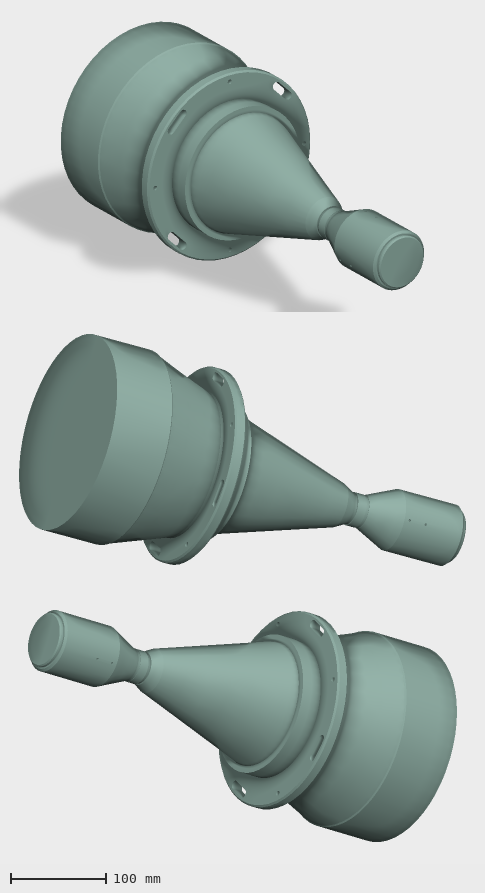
import cadquery as cq

length = 461.5
drum_diameter = 212.0
drum_radius = drum_diameter / 2

drum_end = 67.5
collar_start = 139.0
flange_start = 142.0
flange_end = 155.0
hub_end = 178.0
long_cone_end = 322.5
groove_start = 334.5
groove_end = 338.0
neck_ring_start = 348.0
neck_ring_end = 351.5
barrel_start = 387.0
spigot_start = 457.5

drum_chamfer = 1.5
collar_radius = 80.0
flange_chamfer = 2.0
hub_radius = 75.0
long_cone_radius = 67.5
cone_tip_radius = 24.0
neck_radius = 18.0
groove_depth = 1.5
neck_ring_depth = 0.5
barrel_radius = 33.2
barrel_chamfer = 2.5
spigot_radius = 29.0
spigot_chamfer = 1.5

opening_circle = 96.5
opening_count = 4
slot_length = 30.5
slot_width = 9.2
pin_hole_diameter = 5.0

screw_stations = (393.0, 412.0)
screw_count = 3
screw_start_angle = -5
screw_hole_diameter = 3.0
screw_hole_depth = 2.5


def revolve_profile(points):
    """Revolve (station, radius) points, closed along the X axis."""
    outline = [(0, 0)] + points + [(length, 0)]
    return (
        cq.Workplane("XY")
        .polyline(outline)
        .close()
        .revolve(360, (0, 0, 0), (1, 0, 0))
    )


def body():
    return revolve_profile([
        (0, drum_radius),
        (drum_end - drum_chamfer, drum_radius),
        (drum_end, drum_radius - drum_chamfer),
        (collar_start, collar_radius),
        (flange_start, collar_radius),
        (flange_start, drum_radius - flange_chamfer),
        (flange_start + flange_chamfer, drum_radius),
        (flange_end - flange_chamfer, drum_radius),
        (flange_end, drum_radius - flange_chamfer),
        (flange_end, hub_radius),
        (hub_end, hub_radius),
        (hub_end, long_cone_radius),
        (long_cone_end, cone_tip_radius),
        (groove_start, neck_radius),
        (groove_start, neck_radius - groove_depth),
        (groove_end, neck_radius - groove_depth),
        (groove_end, neck_radius),
        (neck_ring_start, neck_radius),
        (neck_ring_start, neck_radius - neck_ring_depth),
        (neck_ring_end, neck_radius - neck_ring_depth),
        (neck_ring_end, neck_radius),
        (barrel_start, barrel_radius),
        (spigot_start - barrel_chamfer, barrel_radius),
        (spigot_start, barrel_radius - barrel_chamfer),
        (spigot_start, spigot_radius),
        (length - spigot_chamfer, spigot_radius),
        (length, spigot_radius - spigot_chamfer),
    ])


def flange_openings():
    """Four straight slots on the diagonals and four pin holes on the main axes."""
    depth = flange_end - flange_start
    plane = cq.Workplane("YZ", origin=(flange_start, 0, 0))
    slot_spacing = 360 / opening_count
    holes = (
        plane.polarArray(opening_circle, 0, 360, opening_count)
        .circle(pin_hole_diameter / 2)
        .extrude(depth)
    )
    slot = plane.center(opening_circle, 0).slot2D(slot_length, slot_width, 90).extrude(depth)
    for i in range(opening_count):
        holes = holes.union(slot.rotate((0, 0, 0), (1, 0, 0), slot_spacing * (i + 0.5)))
    return holes


def set_screw_holes():
    """Blind radial holes, equally spaced around the barrel at each screw station."""
    holes = cq.Workplane("XY")
    for station in screw_stations:
        floor = cq.Workplane("XY", origin=(station, 0, barrel_radius - screw_hole_depth))
        hole = floor.circle(screw_hole_diameter / 2).extrude(2 * screw_hole_depth)
        for i in range(screw_count):
            angle = screw_start_angle + i * 360 / screw_count
            holes = holes.add(hole.rotate((0, 0, 0), (1, 0, 0), angle))
    return holes.combine()


part = body().cut(flange_openings()).cut(set_screw_holes())
result = part.translate((-length / 2, 0, 0))